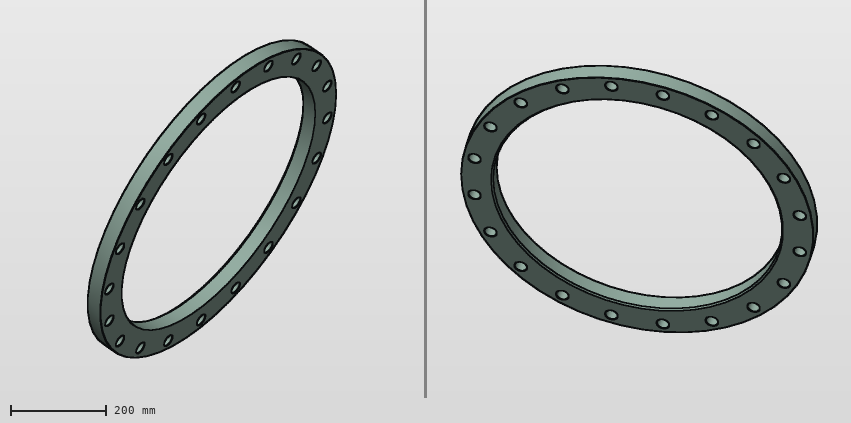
import cadquery as cq

outer_diameter = 755.0
bore_diameter = 618.0
thickness = 36.0
bore_chamfer = 4.0
edge_break = 1.0

bolt_count = 20
bolt_hole_diameter = 26.0
bolt_circle_diameter = 705.0
first_bolt_angle = 360 / bolt_count / 2

smallest_circles = 0
second_largest_circle = -2
largest_circle = -1


def ring_blank():
    """Plain ring spanning X = 0 to X = thickness."""
    return (
        cq.Workplane("YZ")
        .circle(outer_diameter / 2)
        .circle(bore_diameter / 2)
        .extrude(thickness)
    )


def bolt_holes():
    """Cylinders that cut the evenly spaced through holes."""
    return (
        cq.Workplane("YZ")
        .polarArray(bolt_circle_diameter / 2, first_bolt_angle, 360, bolt_count)
        .circle(bolt_hole_diameter / 2)
        .extrude(thickness)
    )


def chamfer_circles(body, face, radius_rank, size):
    """Chamfer the circular edges of one flat face that have the given radius rank."""
    edges = cq.selectors.RadiusNthSelector(radius_rank)
    return body.faces(face).edges(edges).chamfer(size)


ring = ring_blank().cut(bolt_holes())

ring = chamfer_circles(ring, "<X", second_largest_circle, bore_chamfer)

for flat_face in ("<X", ">X"):
    for rank in (largest_circle, smallest_circles):
        ring = chamfer_circles(ring, flat_face, rank, edge_break)

result = ring